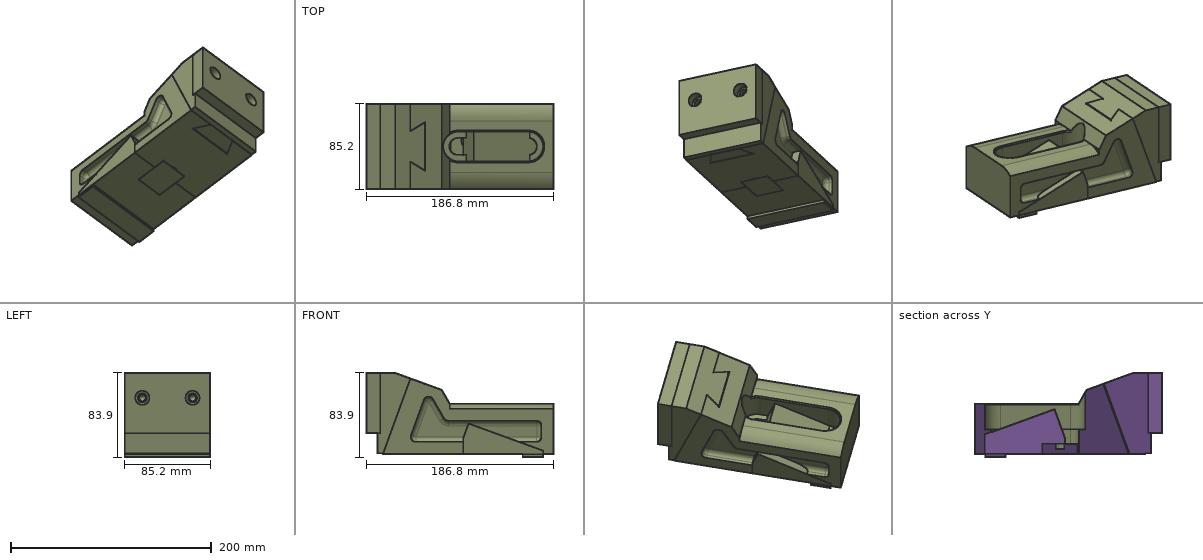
import cadquery as cq
import math

LENGTH = 186.8
WIDTH = 85.2
TOP_Z = 80.9
TILT = math.tan(math.radians(20))
STEEP = math.tan(math.radians(60))

PLATE_THICKNESS = 14.0
PLATE_BOTTOM_Z = 20.7
SCREW_SPACING = 50.0
SCREW_Z = 56.0
SCREW_HEAD_DIAMETER = 14.0
SCREW_HEAD_DEPTH = 9.0
SCREW_CLEARANCE_DIAMETER = 9.0
SCREW_TAP_DIAMETER = 6.7
SCREW_TAP_DEPTH = 15.0
DRILL_POINT_ANGLE = 118

SLIDE_LIP = 3.0
SLIDE_BOTTOM_Z = 0.5
SLIDE_TOP_END_X = 29.0
JOINT_TOP_X = 44.0
JOINT_TOP_Z = TOP_Z - (JOINT_TOP_X - SLIDE_TOP_END_X) * TILT
JOINT_FOOT_X = JOINT_TOP_X - JOINT_TOP_Z * TILT
DOVETAIL_NECK = 30.5
DOVETAIL_DEPTH = 15.0
DOVETAIL_GAP = 0.5
DOVETAIL_FLARE = math.tan(math.radians(30))

DECK_Z = 50.2
DECK_START_X = 83.1
CREST_X = 75.3
CREST_Z = TOP_Z - (CREST_X - SLIDE_TOP_END_X) * TILT
SHOULDER_WIDTH = 16.8
SHOULDER_DROP = 5.2
SHOULDER_RADIUS = (SHOULDER_WIDTH**2 + SHOULDER_DROP**2) / (2 * SHOULDER_DROP)

POCKET_BOTTOM_Z = 12.1
POCKET_TOP_Z = 33.2
POCKET_LEFT_X = 42.2
POCKET_KNEE_X = 78.8
POCKET_RIGHT_X = 174.6
POCKET_DEPTH = 8.8
POCKET_CORNER_RADIUS = 5.0
POCKET_FLOOR_RADIUS = 4.9

SLOT_START_X = 91.5
SLOT_END_X = 161.5
SLOT_WIDTH = 29.5
SLOT_RIM_CHAMFER = 1.3
SLOT_RIM_ANGLE = 45
SLOT_FLOOR_Z = 24.5
LOWER_SLOT_WIDTH = 17.0

WEDGE_START_X = 96.5
WEDGE_END_X = 176.3
WEDGE_HEEL_Z = 15.5
WING_PEAK_X = 102.0
RIDGE_PEAK_X = 107.2

FOOT_START_X = 156.0
FOOT_HEIGHT = 3.0

ANCHOR_START_X = 84.2
ANCHOR_LENGTH = 35.1
ANCHOR_WIDTH = SLOT_WIDTH
ANCHOR_HEIGHT = 10.0
ANCHOR_HOLE_DIAMETER = 14.0
ANCHOR_HOLE_DEPTH = 5.0
ANCHOR_HOLE_Y = 5.8


def prism(outline, width):
    """Extrude an XZ outline, centred on the plane Y = 0."""
    return cq.Workplane("XZ").polyline(outline).close().extrude(width / 2, both=True)


def bore_along_x(start_x, diameter, depth):
    """The pair of screw bores, running in +X from start_x."""
    return (
        cq.Workplane("YZ", origin=(start_x, 0, SCREW_Z))
        .pushPoints([(-SCREW_SPACING / 2, 0), (SCREW_SPACING / 2, 0)])
        .circle(diameter / 2)
        .extrude(depth)
    )


def slot(width, bottom_z, top_z, taper=0):
    """Upright round-ended slot, sunk from top_z and narrowing downwards by the taper angle."""
    spacing = SLOT_END_X - SLOT_START_X
    middle_x = (SLOT_START_X + SLOT_END_X) / 2
    return (
        cq.Workplane("XY", origin=(middle_x, 0, top_z))
        .slot2D(spacing + width, width)
        .extrude(bottom_z - top_z, taper=taper)
    )


def make_jaw_plate():
    outline = [
        (0, PLATE_BOTTOM_Z),
        (PLATE_THICKNESS, PLATE_BOTTOM_Z),
        (PLATE_THICKNESS, TOP_Z),
        (0, TOP_Z),
    ]
    plate = prism(outline, WIDTH)
    plate = plate.cut(bore_along_x(0, SCREW_CLEARANCE_DIAMETER, PLATE_THICKNESS))
    return plate.cut(bore_along_x(0, SCREW_HEAD_DIAMETER, SCREW_HEAD_DEPTH))


def dovetail(depth):
    """Dovetail bar along the leaning joint, cut off by the jaw slope and the level Z = 0."""
    half_neck = DOVETAIL_NECK / 2
    half_end = half_neck + depth * DOVETAIL_FLARE
    along_joint = cq.Plane(
        origin=(JOINT_TOP_X, 0, JOINT_TOP_Z),
        xDir=(1, 0, -TILT),
        normal=(TILT, 0, 1),
    )
    outline = [(0, -half_neck), (depth, -half_end), (depth, half_end), (0, half_neck)]
    bar = cq.Workplane(along_joint).polyline(outline).close().extrude(-LENGTH)
    above_ground = cq.Workplane("XY").box(2 * LENGTH, WIDTH, LENGTH, centered=(True, True, False))
    return bar.intersect(above_ground)


def tapped_bores():
    """Blind screw bores with drill-point ends."""
    bores = bore_along_x(PLATE_THICKNESS, SCREW_TAP_DIAMETER, SCREW_TAP_DEPTH)
    radius = SCREW_TAP_DIAMETER / 2
    point_length = radius / math.tan(math.radians(DRILL_POINT_ANGLE / 2))
    for y in (-SCREW_SPACING / 2, SCREW_SPACING / 2):
        base = cq.Vector(PLATE_THICKNESS + SCREW_TAP_DEPTH, y, SCREW_Z)
        point = cq.Solid.makeCone(radius, 0, point_length, base, cq.Vector(1, 0, 0))
        bores = bores.union(cq.Workplane(point))
    return bores


def make_slide():
    lip_x = PLATE_THICKNESS - SLIDE_LIP
    outline = [
        (lip_x, SLIDE_BOTTOM_Z),
        (JOINT_FOOT_X + SLIDE_BOTTOM_Z * TILT, SLIDE_BOTTOM_Z),
        (JOINT_TOP_X, JOINT_TOP_Z),
        (SLIDE_TOP_END_X, TOP_Z),
        (PLATE_THICKNESS, TOP_Z),
        (PLATE_THICKNESS, PLATE_BOTTOM_Z),
        (lip_x, PLATE_BOTTOM_Z),
    ]
    return prism(outline, WIDTH).union(dovetail(DOVETAIL_DEPTH)).cut(tapped_bores())


def wedge_prism(peak_x, width):
    """Prism with an upright heel, a leaning back and a top that falls toward +X."""
    peak_z = WEDGE_HEEL_Z + (peak_x - WEDGE_START_X) / TILT
    outline = [
        (WEDGE_START_X, 0),
        (WEDGE_END_X, 0),
        (WEDGE_END_X, peak_z - (WEDGE_END_X - peak_x) * TILT),
        (peak_x, peak_z),
        (WEDGE_START_X, WEDGE_HEEL_Z),
    ]
    return prism(outline, width)


def make_whole_wedge():
    """Low wings across the full width, with a tall ridge standing in the slot."""
    return wedge_prism(WING_PEAK_X, WIDTH).union(wedge_prism(RIDGE_PEAK_X, SLOT_WIDTH))


def make_foot():
    outline = [
        (FOOT_START_X, -FOOT_HEIGHT),
        (WEDGE_END_X, -FOOT_HEIGHT),
        (WEDGE_END_X, 0),
        (FOOT_START_X, 0),
    ]
    return prism(outline, WIDTH)


def anchor_blank():
    return cq.Workplane("XY", origin=(ANCHOR_START_X, 0, 0)).box(
        ANCHOR_LENGTH, ANCHOR_WIDTH, ANCHOR_HEIGHT, centered=(False, True, False)
    )


def make_anchor():
    hole = (
        cq.Workplane("XY", origin=(ANCHOR_START_X + ANCHOR_LENGTH / 2, ANCHOR_HOLE_Y, ANCHOR_HEIGHT))
        .circle(ANCHOR_HOLE_DIAMETER / 2)
        .extrude(-ANCHOR_HOLE_DEPTH)
    )
    return anchor_blank().cut(hole)


def shoulder_cut():
    """Material above the rounded shoulder on the -Y edge of the deck."""
    edge_y = -WIDTH / 2
    inner_y = edge_y + SHOULDER_WIDTH
    half_angle = math.asin(SHOULDER_WIDTH / SHOULDER_RADIUS) / 2
    arc_middle = (
        inner_y - SHOULDER_RADIUS * math.sin(half_angle),
        DECK_Z - SHOULDER_RADIUS * (1 - math.cos(half_angle)),
    )
    return (
        cq.Workplane("YZ", origin=(DECK_START_X, 0, 0))
        .moveTo(inner_y, DECK_Z)
        .threePointArc(arc_middle, (edge_y, DECK_Z - SHOULDER_DROP))
        .lineTo(edge_y, DECK_Z)
        .close()
        .extrude(LENGTH - DECK_START_X)
    )


def side_pocket():
    """Boot-shaped pocket in the -Y side, with rounded corners and a rounded floor edge."""
    steep_wall_foot_x = POCKET_KNEE_X + (POCKET_TOP_Z - POCKET_BOTTOM_Z) / STEEP
    peak_rise = (steep_wall_foot_x - POCKET_LEFT_X) / (TILT + 1 / STEEP)
    outline = [
        (POCKET_LEFT_X, POCKET_BOTTOM_Z),
        (POCKET_RIGHT_X, POCKET_BOTTOM_Z),
        (POCKET_RIGHT_X, POCKET_TOP_Z),
        (POCKET_KNEE_X, POCKET_TOP_Z),
        (POCKET_LEFT_X + peak_rise * TILT, POCKET_BOTTOM_Z + peak_rise),
    ]
    return (
        cq.Workplane("XZ", origin=(0, -WIDTH / 2, 0))
        .polyline(outline)
        .close()
        .extrude(-POCKET_DEPTH)
        .edges("|Y")
        .fillet(POCKET_CORNER_RADIUS)
        .faces(">Y")
        .edges()
        .fillet(POCKET_FLOOR_RADIUS)
    )


def deck_slot():
    """Wide slot, chamfered where it meets the deck, above a narrow slot that goes through."""
    rim = slot(SLOT_WIDTH + 2 * SLOT_RIM_CHAMFER, DECK_Z - SLOT_RIM_CHAMFER, DECK_Z, taper=SLOT_RIM_ANGLE)
    deck_space = cq.Workplane("XY", origin=(DECK_START_X, 0, 0)).box(
        LENGTH - DECK_START_X, WIDTH, DECK_Z, centered=(False, True, False)
    )
    rim = rim.intersect(deck_space)
    wide = slot(SLOT_WIDTH, SLOT_FLOOR_Z, CREST_Z)
    narrow = slot(LOWER_SLOT_WIDTH, 0, SLOT_FLOOR_Z)
    return wide.union(narrow).union(rim)


def make_block():
    outline = [
        (JOINT_FOOT_X, 0),
        (LENGTH, 0),
        (LENGTH, DECK_Z),
        (DECK_START_X, DECK_Z),
        (CREST_X, CREST_Z),
        (JOINT_TOP_X, JOINT_TOP_Z),
    ]
    block = prism(outline, WIDTH)
    for side_cut in (shoulder_cut(), side_pocket()):
        block = block.cut(side_cut).cut(side_cut.mirror("XZ"))
    block = block.cut(dovetail(DOVETAIL_DEPTH + DOVETAIL_GAP))
    return block.cut(deck_slot())


jaw_plate = make_jaw_plate()
slide = make_slide()
foot = make_foot()
anchor = make_anchor()
wedge = make_whole_wedge().cut(anchor_blank())
block = make_block().cut(make_whole_wedge()).cut(anchor_blank())

result = cq.Compound.makeCompound(
    [jaw_plate.val(), slide.val(), block.val(), wedge.val(), foot.val(), anchor.val()]
)